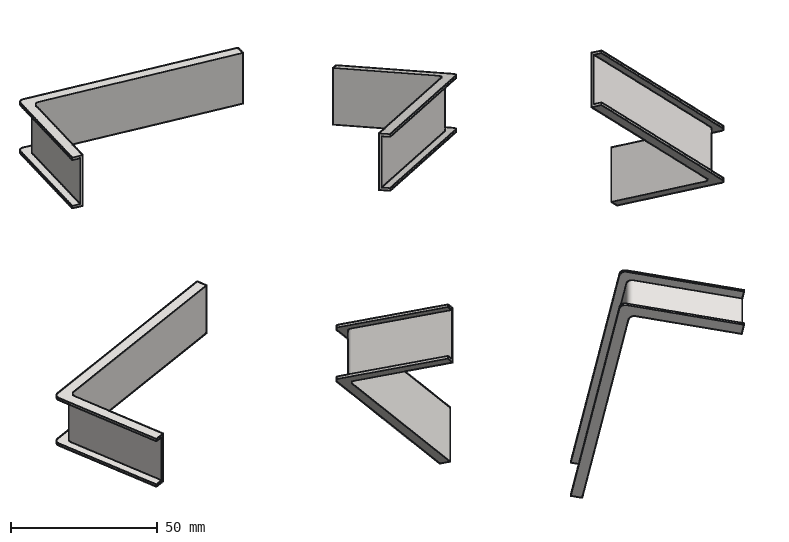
import cadquery as cq

length_x = 43.0
length_y = 83
height = 20.0
flange_width = 4.0
flange_thickness = 1.0
web_setback = 3.0
bend_radius = 2.0


def angle_plate(setback, base_z, thickness):
    """L-shaped plate from a setback line to the inner edge, rounded at the bend."""
    plate = (
        cq.Workplane("XY", origin=(0, 0, base_z))
        .moveTo(setback, setback)
        .lineTo(length_x, setback)
        .lineTo(length_x, flange_width)
        .lineTo(flange_width, flange_width)
        .lineTo(flange_width, length_y)
        .lineTo(setback, length_y)
        .close()
        .extrude(thickness)
    )
    outer_corner = cq.selectors.NearestToPointSelector((setback, setback, base_z + thickness / 2))
    inner_corner = cq.selectors.NearestToPointSelector((flange_width, flange_width, base_z + thickness / 2))
    bend_edges = plate.edges("|Z").edges(outer_corner + inner_corner)
    return bend_edges.fillet(bend_radius)


web = angle_plate(web_setback, 0, height)

bottom_flange = angle_plate(0, 0, flange_thickness)
top_flange = angle_plate(0, height - flange_thickness, flange_thickness)

result = web.union(bottom_flange).union(top_flange)